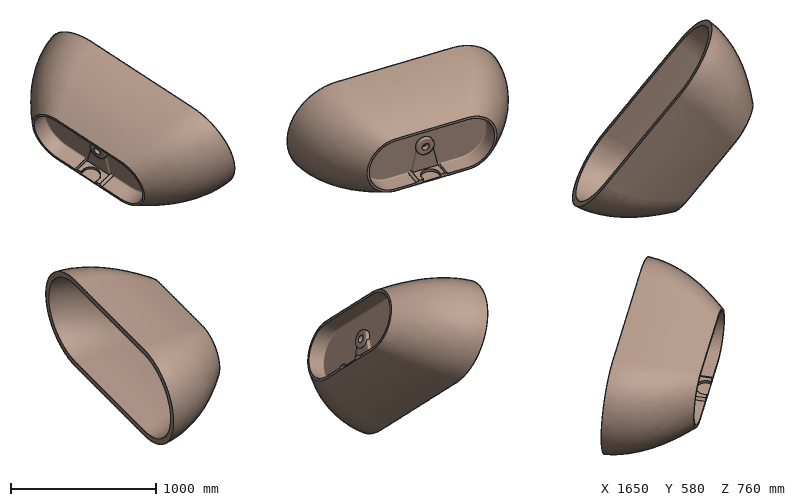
import cadquery as cq

tub_height = 580.0
rim_half_length = 825.0
rim_width = 760.0
rim_half_width = rim_width / 2
base_half_length = 498.0
base_half_width = 223.0
length_bulge = 70.0
width_bulge = 31.0
section_count = 5

wall_thickness = 41.0
basin_floor = 139.0

recess_half_length = 482.0
recess_half_width = 205.0
recess_depth = 122.0
recess_fillet = 10.0

pad_depth = 102.0
pad_wall_half_width = 99.0
pad_top_half_width = 58.0
lip_slope_run = 21.0
lip_height = 13.0
pad_fillet = 8.0

drain_diameter = 55.0
boss_radius = 68.0
boss_height = 8.0
boss_fillet = 7.0

notch_radius = 68.0
notch_center = 23.0
notch_depth = 21.0


def stadium(level, half_length, half_width):
    """Stadium outline, long along X, at the given height above the base."""
    workplane = cq.Workplane("XZ", origin=(0, level, 0))
    return workplane.slot2D(2 * half_length, 2 * half_width)


def profile(base, rim, bulge, fraction):
    """Half size of the body at a fraction of its height, bowed outward parabolically."""
    return base + (rim - base) * fraction + 4 * bulge * fraction * (1 - fraction)


def tapered_oval(bottom, inset):
    """Solid following the body profile from a bottom level to the rim, inset all round."""
    wires = []
    for index in range(section_count):
        level = bottom + (tub_height - bottom) * index / (section_count - 1)
        fraction = level / tub_height
        half_length = profile(base_half_length, rim_half_length, length_bulge, fraction) - inset
        half_width = profile(base_half_width, rim_half_width, width_bulge, fraction) - inset
        wires.append(stadium(level, half_length, half_width).val())
    return cq.Workplane(cq.Solid.makeLoft(wires))


def make_recess():
    """Recess pocket with the drain pad and the wall lip left standing in it."""
    pocket = stadium(0, recess_half_length, recess_half_width).extrude(-recess_depth)
    wall_position = -recess_half_width
    lip_top = wall_position + lip_height
    pad = (
        cq.Workplane("XZ", origin=(0, pad_depth, 0))
        .moveTo(-pad_wall_half_width, lip_top)
        .lineTo(-pad_top_half_width, 0)
        .threePointArc((0, pad_top_half_width), (pad_top_half_width, 0))
        .lineTo(pad_wall_half_width, lip_top)
        .lineTo(pad_wall_half_width, wall_position)
        .lineTo(-pad_wall_half_width, wall_position)
        .close()
        .extrude(pad_depth - recess_depth)
        .faces("<Y")
        .edges("not(<Z)")
        .fillet(pad_fillet)
    )
    lip = (
        cq.Workplane("XZ")
        .polyline([
            (-pad_wall_half_width - lip_slope_run, wall_position),
            (-pad_wall_half_width, lip_top),
            (pad_wall_half_width, lip_top),
            (pad_wall_half_width + lip_slope_run, wall_position),
        ])
        .close()
        .extrude(-recess_depth)
    )
    return pocket.cut(pad).cut(lip).faces(">Y").edges().fillet(recess_fillet)


def make_boss():
    """Round drain seat standing on the recess floor and rising just above the pad."""
    boss_top = pad_depth - boss_height
    return (
        cq.Workplane("XZ", origin=(0, boss_top, 0))
        .circle(boss_radius)
        .extrude(boss_top - recess_depth)
        .faces("<Y")
        .edges()
        .fillet(boss_fillet)
    )


def make_notch():
    """Blind round pocket in the lip, breaking out through the base."""
    top = lip_height - recess_half_width
    return (
        cq.Workplane("XY", origin=(0, notch_center, top))
        .circle(notch_radius)
        .extrude(-notch_depth)
    )


body = tapered_oval(0, 0)
basin = tapered_oval(basin_floor, wall_thickness)
drain_hole = cq.Workplane("XZ").circle(drain_diameter / 2).extrude(-tub_height)

result = (
    body.cut(basin)
    .cut(make_recess())
    .union(make_boss())
    .cut(make_notch())
    .cut(drain_hole)
)